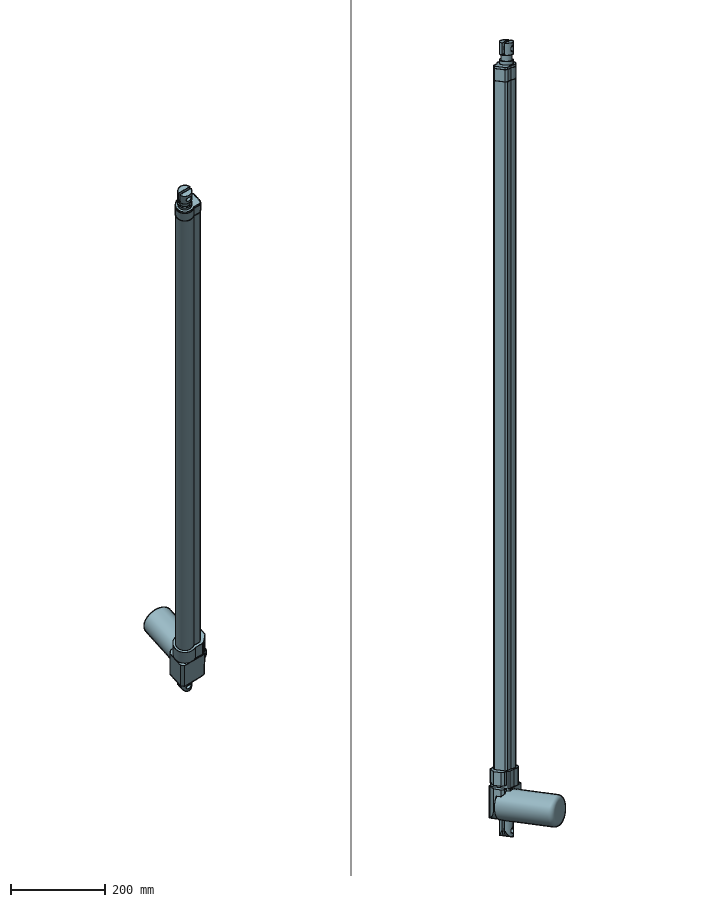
import cadquery as cq
import math


total_length = 1750.0
total_x = 163.51
total_y = 82.55

clevis_dia = 30.16
clevis_end_dia = 28.57
pin_hole_dia = 12.7
clevis_slot = 5.0
rear_slot_depth = 38.0
front_clevis_height = 27.0
front_pin_from_top = 13.5
front_slot_depth = 25.4

housing_half = 25.4
housing_bottom = 27.5
gearbox_height = 73.0
gearbox_chamfer = 6.35
gearbox_corner_radius = 32.0
shoulder_y = 33.0
back_y = 48.5
back_x_min = -17.0
back_x_flat = 6.0
back_x_max = 22.0
back_corner = 5.5

motor_dia = 69.85
motor_end_fillet = 10.5

collar_height = 38.0
collar_flat_half = 22.9
collar_chamfer = 3.0
collar_block_height = 30.0

tube_radius = 20.2
tube_back_y = 32.0
tube_chamfer = 4.5
tube_flat_half = 16.5
cap_overhang = 0.6
cap_height = 31.75
cap_lid_height = 5.0

rod_dia = 23.8
rod_showing = 48.0
seal_dia = 30.16
seal_height = 7.5

bottom_z = -clevis_end_dia / 2
top_z = bottom_z + total_length
gearbox_top = housing_bottom + gearbox_height
collar_top = gearbox_top + collar_height
front_clevis_bottom = top_z - front_clevis_height
cap_top = top_z - rod_showing
cap_bottom = cap_top - cap_height

motor_end_x = housing_half - total_x
motor_y = total_y - housing_half - motor_dia / 2
motor_z = housing_bottom + motor_dia / 2


def prism(outline, bottom, top):
    """Extrude a closed XY outline between two heights."""
    return outline.extrude(top - bottom).translate((0, 0, bottom))


def cylinder(diameter, bottom, top):
    """Round bar on the Z axis between two heights."""
    return prism(cq.Workplane("XY").circle(diameter / 2), bottom, top)


def pin_hole(z):
    """Cutter for a clevis pin hole along X."""
    return cq.Workplane("YZ").center(0, z).circle(pin_hole_dia / 2).extrude(clevis_dia, both=True)


def fork_slot(bottom, top):
    """Cutter for the slot between the two tines of a clevis."""
    return prism(cq.Workplane("XY").rect(clevis_slot, clevis_dia), bottom, top)


def d_outline(radius, flat_half, back, chamfer):
    """Outline with a round front, two flat sides and a chamfered flat back."""
    flat_start = math.sqrt(radius**2 - flat_half**2)
    return (
        cq.Workplane("XY")
        .moveTo(-flat_half, flat_start)
        .threePointArc((0, -radius), (flat_half, flat_start))
        .lineTo(flat_half, back - chamfer)
        .lineTo(flat_half - chamfer, back)
        .lineTo(chamfer - flat_half, back)
        .lineTo(-flat_half, back - chamfer)
        .close()
    )


def back_block_outline():
    """Outline of the narrow block behind the shoulders of the gearbox."""
    return cq.Workplane("XY").polyline(
        [
            (back_x_min, 0),
            (back_x_max, 0),
            (back_x_max, shoulder_y),
            (back_x_flat, back_y),
            (back_x_min + back_corner, back_y),
            (back_x_min, back_y - back_corner),
        ]
    ).close()


def rear_clevis():
    """Fixed fork under the gearbox with a round end."""
    body = cylinder(clevis_dia, 0, housing_bottom)
    round_end = (
        cq.Workplane("YZ").circle(clevis_end_dia / 2).extrude(clevis_dia, both=True)
        .intersect(cylinder(clevis_dia, bottom_z, clevis_end_dia))
    )
    slot = fork_slot(bottom_z, bottom_z + rear_slot_depth)
    return body.union(round_end).cut(slot).cut(pin_hole(0))


def gearbox():
    """Gearbox with chamfered front corners and a narrower back block."""
    body = prism(
        cq.Workplane("XY").polyline(
            [
                (-housing_half, gearbox_chamfer - housing_half),
                (gearbox_chamfer - housing_half, -housing_half),
                (housing_half - gearbox_chamfer, -housing_half),
                (housing_half, gearbox_chamfer - housing_half),
                (housing_half, shoulder_y),
                (-housing_half, shoulder_y),
            ]
        ).close(),
        housing_bottom,
        gearbox_top,
    )
    body = body.union(prism(back_block_outline(), housing_bottom, gearbox_top))
    side = (
        cq.Workplane("YZ")
        .moveTo(-housing_half, housing_bottom)
        .lineTo(motor_y, housing_bottom)
        .radiusArc((back_y, motor_z), -gearbox_corner_radius)
        .lineTo(back_y, gearbox_top)
        .lineTo(-housing_half, gearbox_top)
        .close()
        .extrude(housing_half, both=True)
    )
    return body.intersect(side)


def motor():
    """Motor body running from its rounded free end to the drive axis."""
    return (
        cq.Workplane("YZ").center(motor_y, motor_z).circle(motor_dia / 2).extrude(-motor_end_x)
        .translate((motor_end_x, 0, 0))
        .faces("<X").edges().fillet(motor_end_fillet)
    )


def collar():
    """Collar joining the gearbox to the cover tube."""
    body = prism(d_outline(housing_half, collar_flat_half, shoulder_y, collar_chamfer), gearbox_top, collar_top)
    return body.union(prism(back_block_outline(), collar_top - collar_block_height, collar_top))


def tube_outline(overhang):
    """Outline of the cover tube, grown outwards by an overhang."""
    return d_outline(
        tube_radius + overhang, tube_flat_half + overhang, tube_back_y + overhang, tube_chamfer
    )


def tube_and_cap():
    """Cover tube with a proud end cap and a stepped lid."""
    lid_bottom = cap_top - cap_lid_height
    tube = prism(tube_outline(0), collar_top, cap_bottom)
    cap = prism(tube_outline(cap_overhang), cap_bottom, lid_bottom)
    lid = prism(tube_outline(0), lid_bottom, cap_top)
    return tube.union(cap).union(lid)


def rod():
    """Moving rod with its seal and fork head."""
    seal = cylinder(seal_dia, cap_top, cap_top + seal_height)
    bar = cylinder(rod_dia, cap_top, front_clevis_bottom)
    head = cylinder(clevis_dia, front_clevis_bottom, top_z)
    slot = fork_slot(top_z - front_slot_depth, top_z)
    return seal.union(bar).union(head).cut(slot).cut(pin_hole(top_z - front_pin_from_top))


result = gearbox().union(motor()).union(collar()).union(tube_and_cap()).union(rod()).union(rear_clevis())